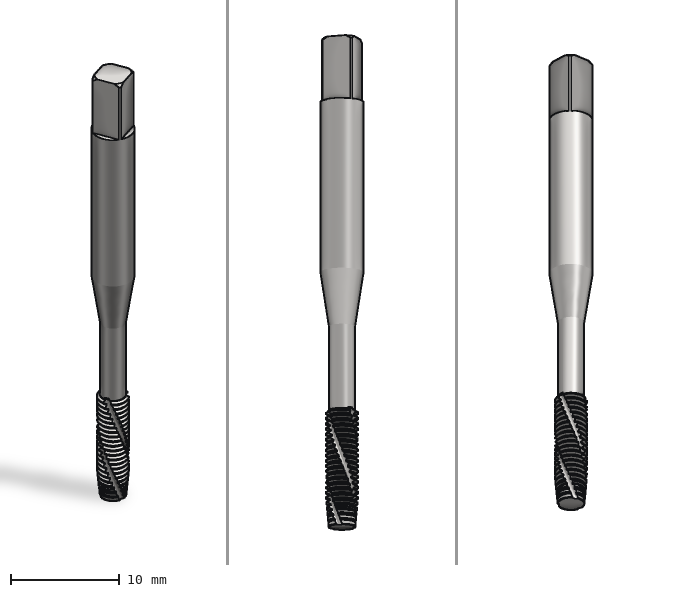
import cadquery as cq
import math

total_length = 46.0
shank_diameter = 4.0
neck_diameter = 2.45
thread_diameter = 3.0

thread_length = 11.0
neck_top = 18.9
taper_top = 24.0

shank_radius = shank_diameter / 2
neck_radius = neck_diameter / 2
thread_radius = thread_diameter / 2

square_width = 3.0
square_length = 6.0
square_chamfer = 0.28

tooth_count = 22
flank_angle = 30.0
pitch = thread_length / tooth_count
crest_flat = pitch / 8
root_radius = neck_radius
flank_height = (thread_radius - root_radius) * math.tan(math.radians(flank_angle))

lead_length = 2.55
lead_tip_radius = 1.25

flute_count = 3
flute_radius = 0.35
flute_center_radius = 1.45
flute_lead = 21.15
flute_runout = 0.15
flute_start_angle = 98.0
flute_length = thread_length + flute_runout
flute_twist = -360 * flute_length / flute_lead


def revolve_outline(outline):
    """Turn a closed outline of (radius, height) points about the Z axis."""
    return cq.Workplane("XZ").polyline(outline).close().revolve(360, (0, 0), (0, 1))


def make_flute(angle):
    """Round cutter twisted about the tap axis, starting at the given angle at the tip."""
    start_x = flute_center_radius * math.cos(math.radians(angle))
    start_y = flute_center_radius * math.sin(math.radians(angle))
    section = cq.Workplane("XY").moveTo(start_x, start_y).circle(flute_radius)
    return section.twistExtrude(flute_length, flute_twist)


def cut_flutes(body):
    """Remove all the spiral flutes from a body."""
    for index in range(flute_count):
        angle = flute_start_angle + index * 360 / flute_count
        body = body.cut(make_flute(angle))
    return body


def make_square_waste():
    """Material around the driving square; its outer circle clears the shank."""
    base = cq.Workplane("XY").workplane(offset=total_length - square_length)
    return base.circle(shank_diameter).rect(square_width, square_width).extrude(square_length)


def make_shank():
    """Shank with its driving square, taper and neck."""
    outline = [
        (0, thread_length),
        (neck_radius, thread_length),
        (neck_radius, neck_top),
        (shank_radius, taper_top),
        (shank_radius, total_length - square_chamfer),
        (shank_radius - square_chamfer, total_length),
        (0, total_length),
    ]
    return cut_flutes(revolve_outline(outline).cut(make_square_waste()))


def make_toothed_rod():
    """Full-diameter rod with evenly spaced ring teeth."""
    outline = [(0, 0), (root_radius, 0)]
    for tooth in range(tooth_count):
        middle = (tooth + 0.5) * pitch
        crest_bottom = middle - crest_flat / 2
        crest_top = middle + crest_flat / 2
        outline += [
            (root_radius, crest_bottom - flank_height),
            (thread_radius, crest_bottom),
            (thread_radius, crest_top),
            (root_radius, crest_top + flank_height),
        ]
    outline += [(root_radius, thread_length), (0, thread_length)]
    return revolve_outline(outline)


def make_lead_envelope():
    """Space left for the teeth by the conical lead."""
    outline = [
        (0, 0),
        (lead_tip_radius, 0),
        (thread_radius, lead_length),
        (thread_radius, thread_length),
        (0, thread_length),
    ]
    return revolve_outline(outline)


def make_thread():
    """Threaded section with its conical lead and spiral flutes."""
    return cut_flutes(make_toothed_rod().intersect(make_lead_envelope()))


shank = make_shank()
thread = make_thread()

result = cq.Compound.makeCompound([shank.solids().val(), thread.solids().val()])